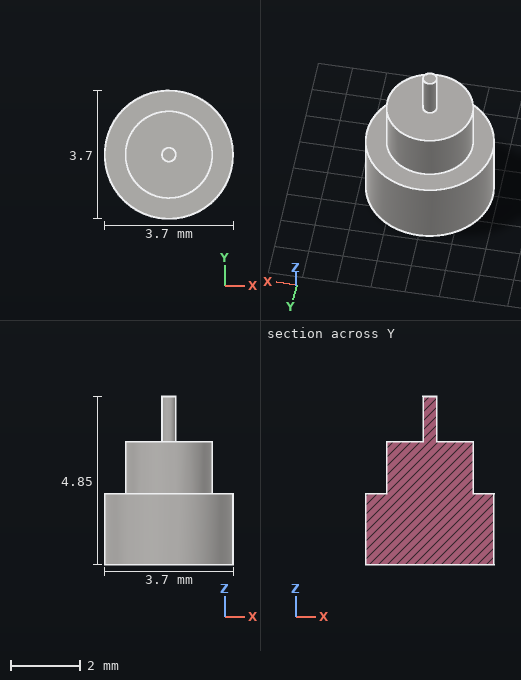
import cadquery as cq

total_height = 4.85
base_diameter = 3.7
base_height = 2.05
collar_diameter = 2.5
collar_height = 1.5
insulator_diameter = 1.95
pin_diameter = 0.4

collar_top = base_height + collar_height
pin_height = total_height - collar_top


def cylinder(diameter, height, bottom):
    """Upright cylinder on the Z axis, starting at the given level."""
    return cq.Workplane("XY").workplane(offset=bottom).circle(diameter / 2).extrude(height)


base = cylinder(base_diameter, base_height, 0)
collar = cylinder(collar_diameter, collar_height, base_height)
bore = cylinder(insulator_diameter, collar_height, base_height)
body = base.union(collar).cut(bore)

insulator = cylinder(insulator_diameter, collar_height, base_height)
pin = cylinder(pin_diameter, pin_height, collar_top)

result = body.union(insulator, clean=False).union(pin, clean=False)